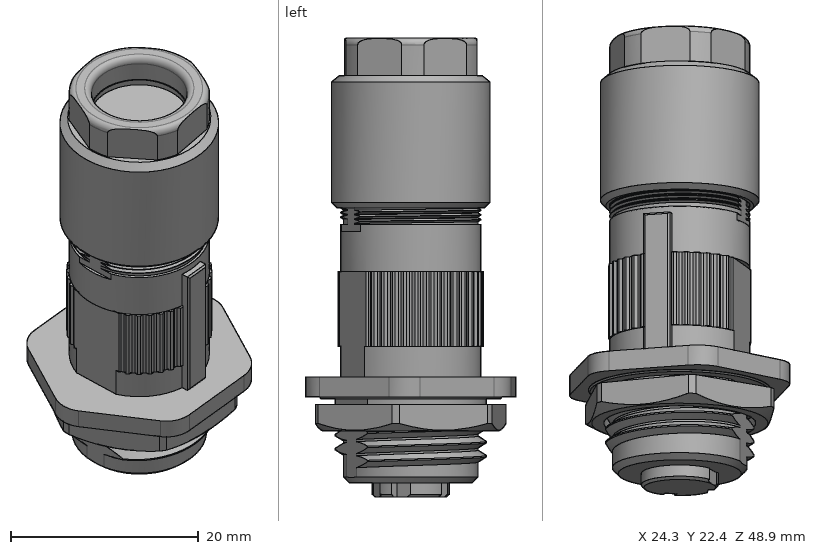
import cadquery as cq
import math

INSERT_BOTTOM = 0.0
BODY_BOTTOM = 1.5
NUT_BOTTOM, NUT_TOP = 7.05, 9.85
COLLAR_BOTTOM = 9.7
SEAL_BOTTOM = 10.45
FLANGE_BOTTOM, FLANGE_TOP = 10.65, 12.8
KNURL_BOTTOM, KNURL_TOP = 16.0, 24.0
GRIP_TOP = 28.25
RING_TOP = 29.0
CAP_BOTTOM = 30.78
NECK_TOP = 33.7
CAP_FLOOR = 45.2
CAP_RECESS_TOP = 45.9
CAP_SHOULDER = 44.85
CAP_TOP = 48.85

FLAT_ANGLE = -63.3
CAP_HEX_ANGLE = 1.8
NUT_HEX_ANGLE = -8.6

BODY_R = 7.45
GRIP_FLAT_DIST = 6.95
PANEL_FLAT_DIST = 7.1
NECK_FLAT_DIST = 7.15

NECK_ROOT_R = 7.2
NECK_PITCH = 0.5
NECK_TURNS = 3
NECK_THREAD_START = 29.3
PANEL_R = 8.05
PANEL_ROOT_R = 7.2
PANEL_PITCH = 1.5
PANEL_TURNS = 3.5
PANEL_THREAD_START = 3.7
ROOT_OVERLAP = 0.05
CREST_SHARE = 0.1
BASE_SHARE = 0.85
BODY_END_CHAMFER = 0.65

FLANGE_INRADIUS = 10.95
FLANGE_CORNER_R = 3.25
SEAL_R = 9.7
SEAL_CHAMFER = 0.17

KNURL_R = 7.745
KNURL_TEETH = 40

KEY_WIDTH = 2.95
KEY_REACH = 8.25
KEY_CHAMFER = 0.2

INSERT_R = 4.1
INSERT_CHAMFER = 0.3
INSERT_NOTCHES = [(-118.0, 1.3, 1.05), (111.0, 2.25, 0.15)]
CODING_CORNER = (-2.9, 1.45)
CODING_WALL_ANGLE = 140.0

NUT_BORE_R = PANEL_R + 0.025
NUT_INRADIUS = 9.5
NUT_CORNER_R = 10.75
NUT_FACE_R = 9.4
NUT_CHAMFER_ANGLE = 30.0

CAP_R = 8.45
CAP_TOP_CHAMFER_H = 0.7
CAP_SHOULDER_R = 7.6
CAP_BOTTOM_CHAMFER = 0.6
CAP_HEX_R = 7.45
CAP_HEX_INRADIUS = 7.0
CAP_BORE_R = 5.1
CAP_RECESS_R = 5.2
CAP_EDGE_FILLET = 0.75


def cylinder(radius, bottom, top):
    return cq.Workplane("XY").workplane(offset=bottom).circle(radius).extrude(top - bottom)


def hexagon(inradius, corner_angle, bottom, top):
    """Hexagonal prism with one corner at corner_angle."""
    corner_diameter = 2 * inradius / math.cos(math.pi / 6)
    prism = cq.Workplane("XY").workplane(offset=bottom).polygon(6, corner_diameter).extrude(top - bottom)
    return turned(prism, corner_angle)


def turned(shape, angle):
    return shape.rotate((0, 0, 0), (0, 0, 1), angle)


def between_flats(shape, distance):
    """Trim a shape to the two opposite flats lying at this distance from the axis."""
    span = 4 * PANEL_R
    slab = cq.Workplane("XY").box(2 * distance, span, 2 * CAP_TOP)
    return shape.intersect(turned(slab, FLAT_ANGLE))


def thread(root_r, crest_r, pitch, turns, start):
    """Right-handed helical ridge that begins in the middle of the rear flat."""
    inner_r = root_r - ROOT_OVERLAP
    half_base = BASE_SHARE * pitch / 2
    half_crest = CREST_SHARE * pitch / 2
    flank_slope = (half_base - half_crest) / (crest_r - root_r)
    half_inner = half_base + flank_slope * ROOT_OVERLAP
    helix = cq.Wire.makeHelix(pitch, pitch * turns, root_r)
    ridge = (
        cq.Workplane("XZ")
        .polyline([
            (inner_r, -half_inner),
            (crest_r, -half_crest),
            (crest_r, half_crest),
            (inner_r, half_inner),
        ])
        .close()
        .sweep(cq.Workplane(helix), isFrenet=True)
    )
    return turned(ridge, FLAT_ANGLE + 180).translate((0, 0, start))


def make_panel_thread():
    core = cylinder(PANEL_ROOT_R, BODY_BOTTOM, SEAL_BOTTOM)
    core = core.faces("<Z").chamfer(BODY_END_CHAMFER)
    core = core.union(cylinder(PANEL_R, COLLAR_BOTTOM, SEAL_BOTTOM))
    ridge = thread(PANEL_ROOT_R, PANEL_R, PANEL_PITCH, PANEL_TURNS, PANEL_THREAD_START)
    return between_flats(core.union(ridge), PANEL_FLAT_DIST)


def make_neck():
    ridge_end = NECK_THREAD_START + NECK_PITCH * (NECK_TURNS + BASE_SHARE / 2)
    neck = cylinder(BODY_R, GRIP_TOP, RING_TOP)
    neck = neck.union(cylinder(NECK_ROOT_R, RING_TOP, ridge_end))
    neck = neck.union(cylinder(BODY_R, ridge_end, NECK_TOP))
    ridge = thread(NECK_ROOT_R, BODY_R, NECK_PITCH, NECK_TURNS, NECK_THREAD_START)
    return between_flats(neck.union(ridge), NECK_FLAT_DIST)


def make_flange():
    plate = hexagon(FLANGE_INRADIUS, FLAT_ANGLE, FLANGE_BOTTOM, FLANGE_TOP)
    plate = plate.edges("|Z").fillet(FLANGE_CORNER_R)
    seal = cylinder(SEAL_R, SEAL_BOTTOM, FLANGE_BOTTOM)
    seal = seal.faces("<Z").chamfer(SEAL_CHAMFER)
    return plate.union(seal)


def make_knurl():
    """Ring of trapezoidal teeth; flank, top, flank and valley each take a quarter of the pitch."""
    pitch = 2 * math.pi / KNURL_TEETH
    root_share, top_share = 3 / 8, 1 / 8
    corners = [(-root_share, BODY_R), (-top_share, KNURL_R), (top_share, KNURL_R), (root_share, BODY_R)]
    outline = []
    for tooth in range(KNURL_TEETH):
        for share, radius in corners:
            angle = (tooth + 0.5 + share) * pitch
            outline.append((radius * math.cos(angle), radius * math.sin(angle)))
    profile = cq.Workplane("XY").workplane(offset=KNURL_BOTTOM).polyline(outline).close()
    return profile.extrude(KNURL_TOP - KNURL_BOTTOM)


def make_key():
    """Rib along the grip, square to the flats."""
    height = GRIP_TOP - FLANGE_TOP
    key = cq.Workplane("XY").box(KEY_REACH, KEY_WIDTH, height, centered=(False, True, False))
    key = key.faces(">X").edges().chamfer(KEY_CHAMFER)
    return turned(key.translate((0, 0, FLANGE_TOP)), FLAT_ANGLE + 90)


def make_grip():
    lower = cylinder(BODY_R, FLANGE_TOP, KNURL_BOTTOM).union(make_knurl())
    upper = cylinder(BODY_R, KNURL_TOP, GRIP_TOP)
    return between_flats(lower, GRIP_FLAT_DIST).union(upper).union(make_key())


def make_insert():
    insert = cylinder(INSERT_R, INSERT_BOTTOM, BODY_BOTTOM)
    insert = insert.faces("<Z").chamfer(INSERT_CHAMFER)
    for angle, width, depth in INSERT_NOTCHES:
        lip = math.sqrt(INSERT_R**2 - (width / 2) ** 2)
        notch = cq.Workplane("XY").box(INSERT_R, width, BODY_BOTTOM, centered=(False, True, False))
        insert = insert.cut(turned(notch.translate((lip - depth, 0, INSERT_BOTTOM)), angle))
    corner_x, corner_y = CODING_CORNER
    coding = cq.Workplane("XY").box(INSERT_R, INSERT_R, BODY_BOTTOM, centered=False)
    coding = turned(coding, CODING_WALL_ANGLE).translate((corner_x, corner_y, INSERT_BOTTOM))
    return insert.cut(coding)


def make_body():
    body = make_insert()
    for section in (make_panel_thread(), make_flange(), make_grip(), make_neck()):
        body = body.union(section)
    return body


def make_nut():
    chamfer_h = (NUT_CORNER_R - NUT_FACE_R) * math.tan(math.radians(NUT_CHAMFER_ANGLE))
    envelope = (
        cq.Workplane("XZ")
        .polyline([
            (NUT_BORE_R, NUT_BOTTOM),
            (NUT_FACE_R, NUT_BOTTOM),
            (NUT_CORNER_R, NUT_BOTTOM + chamfer_h),
            (NUT_CORNER_R, NUT_TOP),
            (NUT_BORE_R, NUT_TOP),
        ])
        .close()
        .revolve(360, (0, 0, 0), (0, 1, 0))
    )
    return envelope.intersect(hexagon(NUT_INRADIUS, NUT_HEX_ANGLE, NUT_BOTTOM, NUT_TOP))


def make_cap():
    barrel = (
        cq.Workplane("XZ")
        .polyline([
            (0, CAP_BOTTOM),
            (CAP_R - CAP_BOTTOM_CHAMFER, CAP_BOTTOM),
            (CAP_R, CAP_BOTTOM + CAP_BOTTOM_CHAMFER),
            (CAP_R, CAP_SHOULDER - CAP_TOP_CHAMFER_H),
            (CAP_SHOULDER_R, CAP_SHOULDER),
            (0, CAP_SHOULDER),
        ])
        .close()
        .revolve(360, (0, 0, 0), (0, 1, 0))
    )
    head = cylinder(CAP_HEX_R, CAP_SHOULDER, CAP_TOP)
    head = head.faces(">Z").edges().fillet(CAP_EDGE_FILLET)
    head = head.intersect(hexagon(CAP_HEX_INRADIUS, CAP_HEX_ANGLE, CAP_SHOULDER, CAP_TOP))
    cap = barrel.union(head).cut(cylinder(CAP_BORE_R, CAP_FLOOR, CAP_TOP))
    bore_mouth = cq.selectors.RadiusNthSelector(0)
    cap = cap.faces(">Z").edges(bore_mouth).fillet(CAP_EDGE_FILLET)
    cap = cap.cut(cylinder(CAP_RECESS_R, CAP_FLOOR, CAP_RECESS_TOP))
    return cap.cut(cylinder(BODY_R, CAP_BOTTOM, NECK_TOP))


body = make_body()
nut = make_nut()
cap = make_cap()

result = cq.Compound.makeCompound([part.solids().val() for part in (body, nut, cap)])